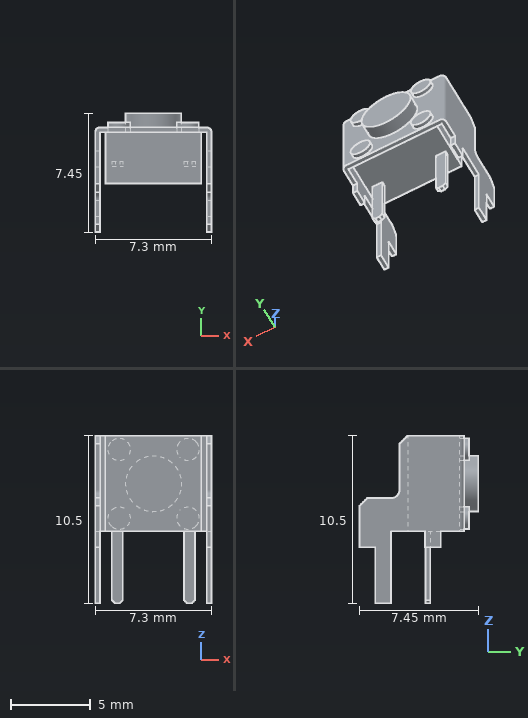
import cadquery as cq


overall_height = 10.5
overall_depth = 7.45
bracket_width = 7.3
body_height = 6.0
leg_length = overall_height - body_height
sheet = 0.32
side_depth = 6.56
upper_depth = 4.05
lower_height = 2.1
corner_cut = 0.5
notch_radius = 0.5

foot_height = 1.0
leg_width = 1.0
foot_width = 2 * leg_width
tab_width = 1.0
tab_back = 1.46

block_width = 6.0
block_front = 3.53
button_diameter = 3.5
button_height = overall_depth - side_depth
rivet_diameter = 1.4
rivet_height = 0.3
rivet_pitch = 4.3
pin_width = 0.7
pin_thickness = 0.3
pin_back = 2.12
pin_pitch = 4.52
pin_tip_cut = 0.21

center_z = body_height / 2
inner_half_width = bracket_width / 2 - sheet
rivet_centers = [
    (side_x * rivet_pitch / 2, center_z + side_z * rivet_pitch / 2)
    for side_x in (-1, 1)
    for side_z in (-1, 1)
]


def box_between(x0, x1, y0, y1, z0, z1):
    return cq.Workplane("XY").box(x1 - x0, y1 - y0, z1 - z0, centered=False).translate((x0, y0, z0))


def back_cylinders(centers, diameter, y_front, y_back):
    """Cylinders along Y at the given (x, z) centers."""
    plane = cq.Plane(origin=(0, y_front, 0), xDir=(1, 0, 0), normal=(0, -1, 0))
    return cq.Workplane(plane).pushPoints(centers).circle(diameter / 2).extrude(y_front - y_back)


def make_side_plate(x_start):
    """Stepped side plate with its rear tab, front foot and solder leg."""
    plate = (
        cq.Workplane("YZ", origin=(x_start, 0, 0))
        .moveTo(-sheet, 0)
        .lineTo(-sheet, body_height)
        .lineTo(-upper_depth + corner_cut, body_height)
        .lineTo(-upper_depth, body_height - corner_cut)
        .lineTo(-upper_depth, lower_height + notch_radius)
        .radiusArc((-upper_depth - notch_radius, lower_height), notch_radius)
        .lineTo(-side_depth + corner_cut, lower_height)
        .lineTo(-side_depth, lower_height - corner_cut)
        .lineTo(-side_depth, 0)
        .close()
        .extrude(sheet)
    )
    x_end = x_start + sheet
    foot_back = -side_depth + foot_width
    tab = box_between(x_start, x_end, -tab_back - tab_width, -tab_back, -foot_height, 0)
    foot = box_between(x_start, x_end, -side_depth, foot_back, -foot_height, 0)
    leg = box_between(x_start, x_end, foot_back - leg_width, foot_back, -leg_length, -foot_height)
    return plate.union(tab).union(foot).union(leg)


def make_bend(side):
    """Quarter-round corner between the back plate and a side plate."""
    cylinder = cq.Workplane("XY").center(side * inner_half_width, -sheet).circle(sheet).extrude(body_height)
    outer_x = side * bracket_width / 2
    inner_x = side * inner_half_width
    corner = box_between(min(inner_x, outer_x), max(inner_x, outer_x), -sheet, 0, 0, body_height)
    return cylinder.intersect(corner)


def make_bracket():
    bracket = box_between(-inner_half_width, inner_half_width, -sheet, 0, 0, body_height)
    for side, x_start in ((-1, -bracket_width / 2), (1, inner_half_width)):
        bracket = bracket.union(make_bend(side)).union(make_side_plate(x_start))
    button_hole = back_cylinders([(0, center_z)], button_diameter, 0, -sheet)
    rivet_holes = back_cylinders(rivet_centers, rivet_diameter, 0, -sheet)
    return bracket.cut(button_hole).cut(rivet_holes)


def make_pin(x_center):
    """Flat terminal pin with a chamfered tip."""
    half = pin_width / 2
    pin = box_between(x_center - half, x_center + half, -pin_back - pin_thickness, -pin_back, -leg_length, 0)
    return pin.faces("<Z").edges("|Y").chamfer(pin_tip_cut)


def make_switch():
    """Block with the button and rivets passing through the bracket, and two pins below."""
    switch = box_between(-block_width / 2, block_width / 2, -block_front, -sheet, 0, body_height)
    switch = switch.union(back_cylinders([(0, center_z)], button_diameter, button_height, -sheet))
    switch = switch.union(back_cylinders(rivet_centers, rivet_diameter, rivet_height, -sheet))
    for side in (-1, 1):
        switch = switch.union(make_pin(side * pin_pitch / 2))
    return switch


bracket = make_bracket()
switch = make_switch()

result = cq.Compound.makeCompound([bracket.val(), switch.val()])